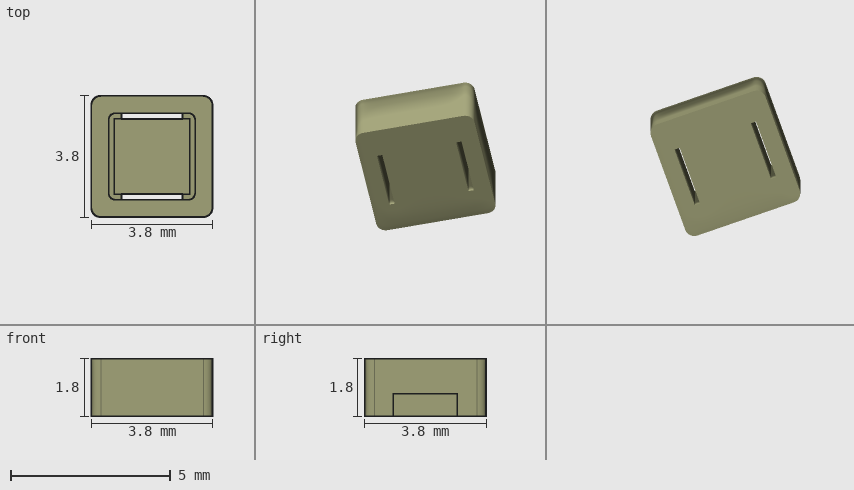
import cadquery as cq

side = 3.8
height = 1.8
corner_radius = 0.3

opening_side = 2.7
opening_radius = 0.2
core_side = 2.36
vent_length = 1.9

terminal_width = 2.0
terminal_height = 0.705
terminal_thickness = 0.15


def square_prism(width):
    """Upright full-height square block, centred on the Z axis."""
    return cq.Workplane("XY").rect(width, width).extrude(height)


def make_opening():
    """Space inside the ring: a square block with rounded corners."""
    return square_prism(opening_side).edges("|Z").fillet(opening_radius)


def make_terminal(direction):
    """Terminal plate flush with the ring side and underside; direction is -1 or +1 along X."""
    center_x = direction * (side - terminal_thickness) / 2
    return (
        cq.Workplane("XY")
        .center(center_x, 0)
        .rect(terminal_thickness, terminal_width)
        .extrude(terminal_height)
    )


def make_ring(terminals):
    """Rounded square ring with a matching recess for each terminal."""
    ring = square_prism(side).edges("|Z").fillet(corner_radius).cut(make_opening())
    for terminal in terminals:
        ring = ring.cut(terminal)
    return ring


def make_glue(direction, core):
    """C-shaped glue strip between core and ring; direction is -1 or +1 along X."""
    strip_length = (opening_side - vent_length) / 2
    center_x = direction * (vent_length + strip_length) / 2
    end_block = (
        cq.Workplane("XY")
        .center(center_x, 0)
        .rect(strip_length, opening_side)
        .extrude(height)
    )
    return make_opening().intersect(end_block).cut(core)


directions = (-1, 1)
core = square_prism(core_side)
terminals = [make_terminal(direction) for direction in directions]
glue_strips = [make_glue(direction, core) for direction in directions]
ring = make_ring(terminals)

result = cq.Compound.makeCompound([
    ring.val(),
    core.val(),
    *[strip.val() for strip in glue_strips],
    *[terminal.val() for terminal in terminals],
])